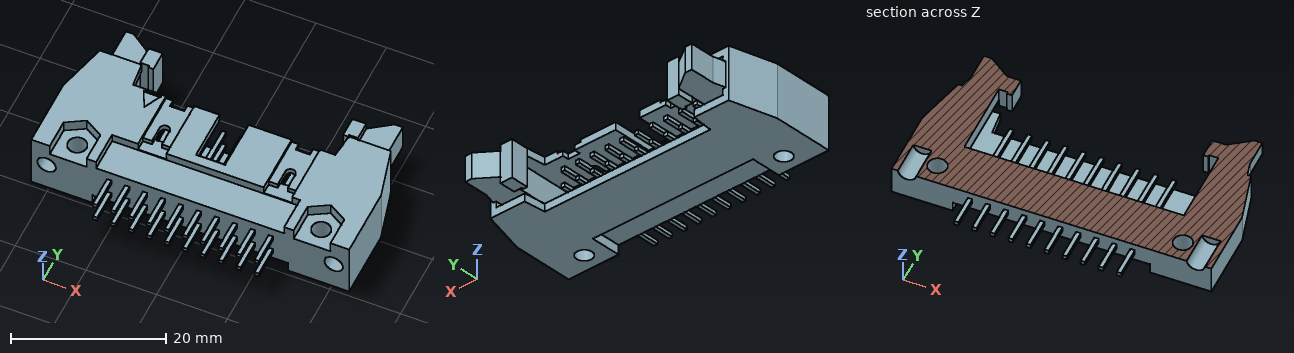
import cadquery as cq
import math


height = 8.5
half_length = 22.5
flank_y = 10.0
shroud_y = 13.8
tower_y = 17.3
tower_outer_x = 20.6
tower_inner_x = 14.65
tower_foot_x = 14.3

pitch = 2.54
pins_per_row = 10
pin_width = 0.64
pin_tail = 4.5
pin_tip_y = shroud_y - 0.3
mid_z = height / 2

cavity_floor_y = 7.4
cavity_height = 6.0
cavity_top_z = mid_z + cavity_height / 2
cavity_bottom_z = mid_z - cavity_height / 2
key_slot_width = 4.1
key_slot_y = 6.4

top_step_length = 26.6
top_step_z = 7.25
step_width_y = 5.0
bottom_step_length = 27.7
bottom_step_z = 1.5

groove_positions = (-3 * pitch, 4 * pitch)
groove_width = 4.0
groove_z = height - 0.4
groove_deep_z = 7.4
groove_deep_y = 6.5
keyhole_width = 1.4
keyhole_end_y = 9.6
rim_notch_width = 2.0
rim_notch_depth = 1.0

mount_x = 17.25
mount_y = 2.85
hole_diameter = 2.6
nut_width = 5.2
nut_pocket_z = 6.85
peg_hole_x = 20.3
peg_hole_z = 4.5
peg_hole_depth = 5.0

mark_x = -4.5 * pitch
mark_base_y = 13.5
mark_tip_y = 11.0
mark_width = 2.5
mark_depth = 0.25

latch_tip_y = tower_y + 6.0
latch_thickness = 4.05
latch_inner_x = 15.4
latch_outer_x = 19.6
latch_root_x = 20.1
latch_tip_x = 18.45
latch_bend_y = 19.2
hook_end_x = 13.4
hook_top_y = 21.15
hook_bottom_y = 18.5
hook_lip_x = 14.15
hook_lip_y = 18.2


def block(x_range, y_range, z_range):
    """Axis-aligned box between the given limits."""
    spans = [high - low for low, high in (x_range, y_range, z_range)]
    corner = (x_range[0], y_range[0], z_range[0])
    return cq.Workplane("XY").box(*spans, centered=False).translate(corner)


def centred(middle, width):
    """Limits of a span of the given width around its middle."""
    return (middle - width / 2, middle + width / 2)


def prism(points, z_range):
    """Closed plan outline extruded between two heights."""
    bottom, top = z_range
    return cq.Workplane("XY").workplane(offset=bottom).polyline(points).close().extrude(top - bottom)


def both_ends(shape):
    """The shape together with its mirror image at the other end of the part."""
    return shape.union(shape.mirror("YZ"))


def housing_blank():
    right = [
        (half_length, 0),
        (half_length, flank_y),
        (tower_outer_x, tower_y),
        (tower_inner_x, tower_y),
        (tower_foot_x, shroud_y),
    ]
    left = [(-x, y) for x, y in reversed(right)]
    return prism(right + left, (0, height))


def cavity():
    opening = block(
        (-latch_outer_x, latch_outer_x), (cavity_floor_y, tower_y), (cavity_bottom_z, cavity_top_z)
    )
    key_slot = block(centred(0, key_slot_width), (key_slot_y, shroud_y), (cavity_top_z, height))
    return opening.union(key_slot)


def pin_side_steps():
    top = block(centred(0, top_step_length), (0, step_width_y), (top_step_z, height))
    bottom = block(centred(0, bottom_step_length), (0, step_width_y), (0, bottom_step_z))
    return top.union(bottom)


def shroud_groove(x):
    """Shallow groove with a deeper end, a round-ended keyhole and a notch in the rim."""
    across = centred(x, groove_width)
    shallow = block(across, (step_width_y, shroud_y), (groove_z, height))
    deep = block(across, (step_width_y, groove_deep_y), (groove_deep_z, height))
    round_centre_y = keyhole_end_y - keyhole_width / 2
    keyhole = block(
        centred(x, keyhole_width), (groove_deep_y, round_centre_y), (groove_deep_z, height)
    )
    keyhole_opening = block(
        centred(x, keyhole_width), (cavity_floor_y, round_centre_y), (cavity_top_z, height)
    )
    round_end = (
        cq.Workplane("XY")
        .workplane(offset=cavity_top_z)
        .center(x, round_centre_y)
        .circle(keyhole_width / 2)
        .extrude(height - cavity_top_z)
    )
    notch = block(
        centred(x, rim_notch_width), (shroud_y - rim_notch_depth, shroud_y), (cavity_top_z, height)
    )
    return shallow.union(deep).union(keyhole).union(keyhole_opening).union(round_end).union(notch)


def mounting_cuts():
    """Nut pocket, its through hole and the blind peg hole of the right-hand end."""
    apex_rise = nut_width / math.sqrt(3)
    shoulder_y = mount_y + apex_rise / 2
    left, right = centred(mount_x, nut_width)
    pocket = prism(
        [(left, 0), (right, 0), (right, shoulder_y), (mount_x, mount_y + apex_rise), (left, shoulder_y)],
        (nut_pocket_z, height),
    )
    through = cq.Workplane("XY").center(mount_x, mount_y).circle(hole_diameter / 2).extrude(height)
    peg_hole = (
        cq.Workplane("XZ").center(peg_hole_x, peg_hole_z).circle(hole_diameter / 2).extrude(-peg_hole_depth)
    )
    return both_ends(pocket.union(through).union(peg_hole))


def pin_one_mark():
    left, right = centred(mark_x, mark_width)
    return prism(
        [(left, mark_base_y), (right, mark_base_y), (mark_x, mark_tip_y)],
        (height - mark_depth, height),
    )


def latches():
    """Ejector arms standing on the cavity floor, each with a wider hook pointing inwards."""
    arm = prism(
        [
            (latch_inner_x, cavity_floor_y),
            (latch_root_x, cavity_floor_y),
            (latch_root_x, tower_y),
            (latch_outer_x, latch_bend_y),
            (latch_outer_x, latch_tip_y),
            (latch_tip_x, latch_tip_y),
            (latch_inner_x, hook_top_y),
        ],
        centred(mid_z, latch_thickness),
    )
    hook = prism(
        [
            (latch_inner_x, hook_top_y),
            (hook_end_x, hook_top_y),
            (hook_end_x, hook_lip_y),
            (hook_lip_x, hook_lip_y),
            (hook_lip_x, hook_bottom_y),
            (latch_inner_x, hook_bottom_y),
        ],
        (cavity_bottom_z, cavity_top_z),
    )
    return both_ends(arm.union(hook))


def pins():
    length = pin_tip_y + pin_tail
    return (
        cq.Workplane("XZ", origin=(0, pin_tip_y, mid_z))
        .rarray(pitch, pitch, pins_per_row, 2)
        .rect(pin_width, pin_width)
        .extrude(length)
    )


housing = housing_blank().cut(cavity()).cut(pin_side_steps())
for groove_x in groove_positions:
    housing = housing.cut(shroud_groove(groove_x))
housing = housing.cut(mounting_cuts()).cut(pin_one_mark())

result = housing.union(latches()).union(pins())